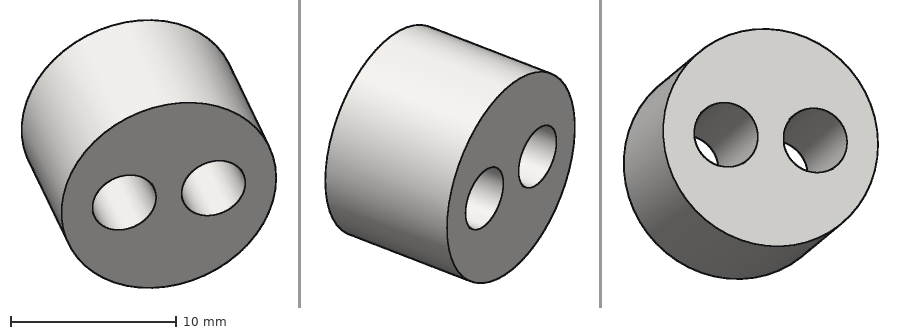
import cadquery as cq

body_diameter = 13.5
body_length = 9.0
hole_diameter = 4.0
hole_spacing = 5.6

end_plane = cq.Workplane("YZ", origin=(-body_length / 2, 0, 0))

body = end_plane.circle(body_diameter / 2).extrude(body_length)

hole_centres = [(side * hole_spacing / 2, 0) for side in (-1, 1)]
holes = end_plane.pushPoints(hole_centres).circle(hole_diameter / 2).extrude(body_length)

result = body.cut(holes)